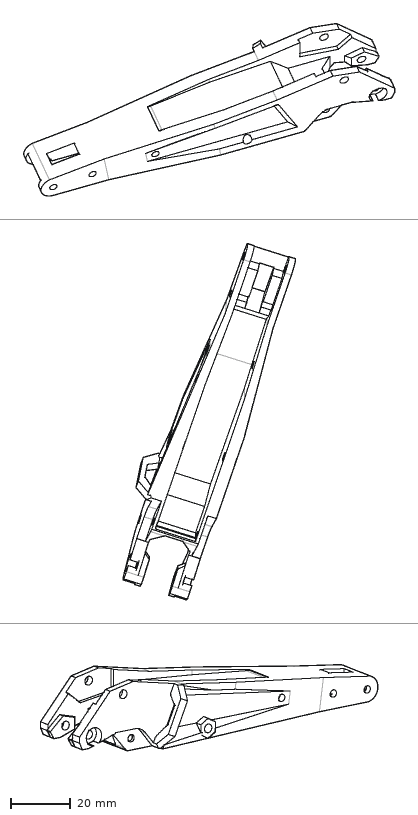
import cadquery as cq
import math

LENGTH = 127.0
YAW = 2.4
REACH = 76.2
BELOW = -6.4
ABOVE = 31.8
BEFORE_TAIL = -6.4
BEYOND_FORK = 139.8

TAIL_RADIUS = 4.5
TAIL_CROWN = (3.0, 8.9)
ROOF_SLOPE = 8.1
TAIL_HALF_WIDTH = 8.5
SIDE_WALL = 2.3
ROOF = 1.7
FLARE_START = 23.8
FLARE_RATE = 0.072
FLARE_END = 101.6

FORK_HALF_WIDTH = 11.3
FORK_HALF_GAP = 7.1
SHOULDER = (83.9, 20.8)
PEAK = (103.9, 25.2)
BROW = (113.5, 23.4)
TIP_Y = 126.2
TIP_TOP_Z = 9.4
TIP_LOW_Z = 7.2
CHIN_FRONT_Y = 125.0
CHIN_BACK_Y = 122.4
CHIN_Z = 4.7
THROAT = (111.2, 8.1)
LUG_TOE = (105.5, 1.3)
LUG_FOOT_Y = 104.2
LUG_HALF_WIDTH = 8.3
CHEEK_FOOT_Y = 93.8
CHEEK_BEND = (98.6, 6.0)
CHEEK_ARC_MID = (100.6, 7.8)
CHEEK_LEVEL = (103.2, 8.4)

RELIEF_HALF_GAP = 8.6
RELIEF_BACK = (98.7, 16.5)
RELIEF_LOW = (112.6, 14.7)
RELIEF_FRONT = (120.7, 21.6)

TIP_BOSS_HALF_GAP = 5.1
TIP_BOSS_FRONT_Y = (
    LENGTH - (TAIL_HALF_WIDTH + FORK_HALF_GAP) * math.sin(math.radians(YAW))
) / math.cos(math.radians(YAW))
TIP_BOSS_FRONT_Z = 7.5
TIP_BOSS_RIDGE = (121.2, 12.1)
TIP_BOSS_BACK_Y = 114.9
TIP_BOSS_BACK_TOP_Z = 10.3
TIP_BOSS_BACK_LOW_Z = 7.1
TIP_BOSS_CHAMFER = 1.7

RECESS_START = (43.5, 14.6)
RECESS_LIP = 1.1
RECESS_START_HALF_WIDTH = 5.6
RECESS_FULL_WIDTH_Y = 66.1
CREST = (88.2, 18.5)
FLOOR_START = (94.5, 12.2)
NOTCH_HALF_WIDTH = 3.2
NOTCH_Y = 105.3
NOTCH_MOUTH_Y = 109.5

CAVITY_TAIL_Z = 6.9
CAVITY_FULL_WIDTH_Y = 50.8
CAVITY_BEND = (42.2, 13.0)
CAVITY_STEP = 0.6
TAIL_BLOCK = [(6.1, 8.1), (7.9, 4.6), (17.8, 4.6), (22.1, 5.6), (25.4, 11.4), (6.1, 11.4)]
SLOT = [(6.0, 3.8), (6.0, 12.7), (13.5, 12.7), (22.1, 5.6), (22.1, 3.8)]
SLOT_LEFT_X = -2.3
SLOT_RIGHT_X = 2.8

POCKET_X = 9.5
POCKET_DEPTH = 5.1
POCKET_DRAFT = 46.0
POCKET_FLOOR = [(37.4, 5.3), (88.3, 5.3), (83.2, 16.3), (36.8, 9.8)]
LEDGE_BACK = (61.0, 13.5)
LEDGE_FRONT = (95.3, 23.8)
LEDGE_OUT = 5.1

LOOP_TOP = (87.0, 21.1)
LOOP_LEAN = math.radians(66.0)
LOOP_THICKNESS = 3.0
LOOP_X = -17.4
LOOP_BAND = 1.9
LOOP_ROOT_X = -10.2
LOOP_OUTER = [
    (LOOP_ROOT_X, 22.5), (-12.2, 22.5), (LOOP_X, 17.9), (LOOP_X, 6.2), (-11.4, 0.5), (LOOP_ROOT_X, 0.5),
]
LOOP_WINDOW = [
    (-FORK_HALF_WIDTH, 17.9), (LOOP_X + LOOP_BAND, 15.2), (LOOP_X + LOOP_BAND, 9.1), (-FORK_HALF_WIDTH, 4.1),
]

BOSS_HOLE = (73.3, 3.5)
BOSS_CORNER_RADIUS = 3.5
BOSS_FACE_X = -12.2
PIN_HOLE = (120.2, 8.5)
PIN_COUNTERBORE_RADIUS = 3.2
PIN_COUNTERBORE_DEPTH = 3.0
HOLES = [
    ((TAIL_RADIUS, TAIL_RADIUS), 1.3),
    ((18.5, 5.5), 1.3),
    ((40.8, 8.0), 1.3),
    ((102.5, 4.2), 1.3),
    ((108.0, 21.3), 1.5),
    (BOSS_HOLE, 1.5),
    (PIN_HOLE, 1.5),
]


def side_outline(points):
    return cq.Workplane("YZ").polyline(points).close()


def side_slab(points, x_from, x_to):
    """Extrude a closed (y, z) outline between two x positions."""
    return side_outline(points).extrude(x_to - x_from).translate((x_from, 0, 0))


def plan_block(points, tilt=0.0):
    """Extrude a closed (x, y) outline upright, or tilted about X to stand square to the roof."""
    block = cq.Workplane("XY").polyline(points).close().extrude(REACH, both=True)
    pivot = (0, FLARE_START, TAIL_RADIUS)
    pivot_end = (1, FLARE_START, TAIL_RADIUS)
    return block.rotate(pivot, pivot_end, tilt)


def symmetric_plan(right_side):
    """Plan block whose +X side is given and whose -X side mirrors it."""
    left_side = [(-x, y) for x, y in reversed(right_side)]
    return plan_block(right_side + left_side)


def both_sides(shape):
    return shape.union(shape.mirror("YZ"))


def loop_point(z, offset=0.0):
    """Point on the loop's face nearer the fork, moved toward the tail by offset."""
    y = LOOP_TOP[0] + (LOOP_TOP[1] - z) / math.tan(LOOP_LEAN) - offset / math.sin(LOOP_LEAN)
    return (y, z)


def up_to_loop():
    """Everything on the tail side of the loop."""
    low_end = loop_point(BELOW, LOOP_THICKNESS)
    high_end = loop_point(ABOVE, LOOP_THICKNESS)
    return side_slab([(BEFORE_TAIL, BELOW), low_end, high_end, (BEFORE_TAIL, ABOVE)], -REACH, REACH)


def full_profile():
    """Side profile of the whole arm, extruded wider than the part."""
    outline = (
        cq.Workplane("YZ")
        .moveTo(TAIL_RADIUS, 0)
        .threePointArc((0, TAIL_RADIUS), TAIL_CROWN)
        .lineTo(*SHOULDER)
        .lineTo(*PEAK)
        .lineTo(*BROW)
        .lineTo(TIP_Y, TIP_TOP_Z)
        .lineTo(TIP_Y, TIP_LOW_Z)
        .lineTo(CHIN_FRONT_Y, CHIN_Z)
        .lineTo(CHIN_BACK_Y, CHIN_Z)
        .lineTo(*THROAT)
        .lineTo(*LUG_TOE)
        .lineTo(LUG_FOOT_Y, 0)
        .close()
    )
    return outline.extrude(REACH, both=True)


def ledge_cut():
    """Above a falling ledge the -X skin keeps the width of the fork."""
    top = ABOVE + LEDGE_OUT
    upper = [LEDGE_BACK, LEDGE_FRONT, (LEDGE_FRONT[0], top), (LEDGE_BACK[0], top)]
    lowered = [(y, z - LEDGE_OUT) for y, z in upper]
    wedge = side_outline(upper).workplane(offset=LEDGE_OUT).polyline(lowered).close().loft(ruled=True)
    return wedge.translate((FORK_HALF_WIDTH, 0, 0)).mirror("YZ")


def flared_body(profile):
    """Tail part of the arm: both sides flare, but the +X side stops at the fork's width."""
    flared_half_width = TAIL_HALF_WIDTH + FLARE_RATE * (FLARE_END - FLARE_START)
    right_stop_y = FLARE_START + (FORK_HALF_WIDTH - TAIL_HALF_WIDTH) / FLARE_RATE
    plan = plan_block([
        (-TAIL_HALF_WIDTH, -REACH),
        (-TAIL_HALF_WIDTH, FLARE_START),
        (-flared_half_width, FLARE_END),
        (FORK_HALF_WIDTH, FLARE_END),
        (FORK_HALF_WIDTH, right_stop_y),
        (TAIL_HALF_WIDTH, FLARE_START),
        (TAIL_HALF_WIDTH, -REACH),
    ], ROOF_SLOPE)
    return profile.intersect(plan).intersect(up_to_loop()).cut(ledge_cut())


def fork(profile):
    block = side_slab([
        loop_point(BELOW, LOOP_THICKNESS), (BEYOND_FORK, BELOW),
        (BEYOND_FORK, ABOVE), loop_point(ABOVE, LOOP_THICKNESS),
    ], -FORK_HALF_WIDTH, FORK_HALF_WIDTH)
    return profile.intersect(block)


def lug_trim():
    """Narrows the lug below the curved edge of the cheeks."""
    below_cheek = (
        cq.Workplane("YZ")
        .moveTo(CHEEK_FOOT_Y, 0)
        .lineTo(*CHEEK_BEND)
        .threePointArc(CHEEK_ARC_MID, CHEEK_LEVEL)
        .lineTo(THROAT[0], CHEEK_LEVEL[1])
        .lineTo(THROAT[0], BELOW)
        .lineTo(CHEEK_FOOT_Y, BELOW)
        .close()
    )
    return both_sides(below_cheek.extrude(REACH).translate((LUG_HALF_WIDTH, 0, 0)))


def loop_plate(points):
    """Plate of the loop's thickness in its slanted plane, from (x, z) corners."""
    facing_tail = (0, -math.sin(LOOP_LEAN), -math.cos(LOOP_LEAN))
    face = cq.Plane(origin=(0, loop_point(0)[0], 0), xDir=(1, 0, 0), normal=facing_tail)
    along_face = [(x, z / math.sin(LOOP_LEAN)) for x, z in points]
    return cq.Workplane(face).polyline(along_face).close().extrude(LOOP_THICKNESS)


def side_pockets():
    spread = POCKET_DEPTH * math.tan(math.radians(POCKET_DRAFT))
    floor = side_outline(POCKET_FLOOR).wires().val()
    rim = side_outline(POCKET_FLOOR).offset2D(spread, "intersection").translate((POCKET_DEPTH, 0, 0)).val()
    pocket = cq.Workplane(cq.Solid.makeLoft([floor, rim], True)).translate((POCKET_X, 0, 0))
    return both_sides(pocket.intersect(up_to_loop()))


def hex_boss():
    y, z = BOSS_HOLE
    corners = []
    for corner in range(6):
        angle = math.radians(60 * corner)
        corners.append((y + BOSS_CORNER_RADIUS * math.sin(angle), z + BOSS_CORNER_RADIUS * math.cos(angle)))
    return side_slab(corners, BOSS_FACE_X, -POCKET_X)


def roof_recess():
    """Recess in the roof, continuing over the crest as the gap between the fork arms."""
    slab = side_slab([
        RECESS_START,
        (RECESS_START[0], ABOVE),
        (BEYOND_FORK, ABOVE),
        (BEYOND_FORK, FLOOR_START[1]),
        FLOOR_START,
        CREST,
        (RECESS_START[0] + RECESS_LIP, RECESS_START[1]),
    ], -FORK_HALF_GAP, FORK_HALF_GAP)
    plan = symmetric_plan([
        (RECESS_START_HALF_WIDTH, RECESS_START[0]),
        (FORK_HALF_GAP, RECESS_FULL_WIDTH_Y),
        (FORK_HALF_GAP, BEYOND_FORK),
    ])
    return slab.intersect(plan)


def floor_notch():
    return symmetric_plan([
        (NOTCH_HALF_WIDTH, NOTCH_Y), (FORK_HALF_GAP, NOTCH_MOUTH_Y), (FORK_HALF_GAP, BEYOND_FORK),
    ])


def cavity():
    """Hollow open to the tail and the underside, less the block under the tail roof."""
    end_y = NOTCH_Y - ROOF
    floor_underside = FLOOR_START[1] - ROOF
    slab = side_slab([
        (BEFORE_TAIL, BELOW),
        (BEFORE_TAIL, CAVITY_TAIL_Z),
        (0, CAVITY_TAIL_Z),
        CAVITY_BEND,
        (CREST[0] - CAVITY_STEP, CREST[1] - ROOF),
        (FLOOR_START[0] - CAVITY_STEP, floor_underside),
        (end_y, floor_underside),
        (end_y, BELOW),
    ], -FORK_HALF_GAP, FORK_HALF_GAP)
    tail_half_width = TAIL_HALF_WIDTH - SIDE_WALL
    plan = symmetric_plan([
        (tail_half_width, BEFORE_TAIL),
        (tail_half_width, FLARE_START),
        (FORK_HALF_GAP, CAVITY_FULL_WIDTH_Y),
        (FORK_HALF_GAP, BEYOND_FORK),
    ])
    tail_block = side_slab(TAIL_BLOCK, -FORK_HALF_GAP, FORK_HALF_GAP)
    return slab.intersect(plan).cut(tail_block)


def arm_reliefs():
    outline = [RELIEF_BACK, (RELIEF_BACK[0], ABOVE), (RELIEF_FRONT[0], ABOVE), RELIEF_FRONT, RELIEF_LOW]
    return side_slab(outline, -RELIEF_HALF_GAP, RELIEF_HALF_GAP)


def tip_bosses():
    outline = [
        (TIP_BOSS_FRONT_Y, TIP_BOSS_FRONT_Z),
        TIP_BOSS_RIDGE,
        (TIP_BOSS_BACK_Y, TIP_BOSS_BACK_TOP_Z),
        (TIP_BOSS_BACK_Y, TIP_BOSS_BACK_LOW_Z),
        (CHIN_BACK_Y, CHIN_Z),
        (CHIN_FRONT_Y, CHIN_Z),
        (TIP_BOSS_FRONT_Y, TIP_LOW_Z),
    ]
    plan = plan_block([
        (TIP_BOSS_HALF_GAP, BEYOND_FORK),
        (TIP_BOSS_HALF_GAP, TIP_BOSS_BACK_Y + TIP_BOSS_CHAMFER),
        (FORK_HALF_GAP, TIP_BOSS_BACK_Y),
        (RELIEF_HALF_GAP, TIP_BOSS_BACK_Y),
        (RELIEF_HALF_GAP, BEYOND_FORK),
    ])
    boss = side_slab(outline, TIP_BOSS_HALF_GAP, FORK_HALF_GAP).intersect(plan)
    return both_sides(boss)


def cross_holes():
    holes = cq.Workplane("YZ")
    for centre, radius in HOLES:
        holes = holes.union(cq.Workplane("YZ").center(*centre).circle(radius).extrude(REACH, both=True))
    counterbore = cq.Workplane("YZ").center(*PIN_HOLE).circle(PIN_COUNTERBORE_RADIUS).extrude(REACH)
    seat_x = FORK_HALF_WIDTH - PIN_COUNTERBORE_DEPTH
    return holes.union(both_sides(counterbore.translate((seat_x, 0, 0))))


profile = full_profile()
arm = fork(profile).union(loop_plate(LOOP_OUTER).intersect(profile)).cut(lug_trim())
arm = arm.union(flared_body(profile))
arm = arm.cut(loop_plate(LOOP_WINDOW)).cut(side_pockets())
arm = arm.union(hex_boss())
arm = arm.cut(roof_recess()).cut(floor_notch()).cut(cavity()).cut(arm_reliefs())
arm = arm.union(tip_bosses())
arm = arm.cut(side_slab(SLOT, SLOT_LEFT_X, SLOT_RIGHT_X))
arm = arm.cut(cross_holes())

result = arm.rotate((0, 0, 0), (0, 0, 1), YAW)